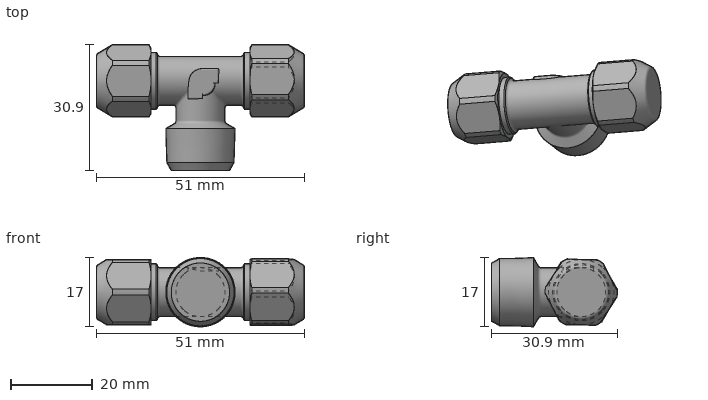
import cadquery as cq
import math

run_half_length = 25.5
branch_length = 22.0
pipe_radius = 6.0
crotch_fillet = 0.7

nut_length = 13.4
nut_across_flats = 16.0
nut_corner_radius = 8.85
nut_nose_radius = 6.5
nut_nose_length = 3.92
nut_nose_fillet = 0.95
nut_back_radius = nut_across_flats / 2
nut_back_chamfer = 0.49
right_nut_turn = -3.0

collar_radius = 7.0
collar_length = 1.55
collar_chamfer = 0.3
collar_fillet = 0.7

thread_length = 10.3
thread_large_radius = 8.51
thread_taper = 1 / 16
thread_end_chamfer = 2.0
thread_end_radius = 7.15
shoulder_angle = math.radians(60)
shoulder_fillet = 0.89

pad_top = 6.1
pad_arc_center = 0.55
pad_outer_arc = 3.55
pad_inner_arc = 3.1
pad_leg_end = 4.5
pad_edge_fillet = 0.4
pad_corner_fillet = 0.3


def revolve_about_x(profile):
    return profile.close().revolve(360, (0, 0, 0), (1, 0, 0))


def make_nut():
    """Hexagon nut with its back at X = 0 and its nose at X = nut_length."""
    envelope = revolve_about_x(
        cq.Workplane("XY")
        .moveTo(0, 0)
        .lineTo(0, nut_back_radius)
        .lineTo(nut_back_chamfer, nut_corner_radius)
        .lineTo(nut_length - nut_nose_length, nut_corner_radius)
        .lineTo(nut_length, nut_nose_radius)
        .lineTo(nut_length, 0)
    )
    envelope = envelope.faces(">X").edges().fillet(nut_nose_fillet)
    hexagon_diameter = nut_across_flats / math.cos(math.pi / 6)
    hexagon = cq.Workplane("YZ").polygon(6, hexagon_diameter).extrude(nut_length)
    return hexagon.intersect(envelope)


def make_collar():
    """Collar with its outer end at X = 0, blending down to the pipe towards +X."""
    fillet_radius = pipe_radius + collar_fillet
    fillet_mid = collar_fillet * (1 - math.sqrt(0.5))
    return revolve_about_x(
        cq.Workplane("XY")
        .moveTo(0, 0)
        .lineTo(0, collar_radius)
        .lineTo(collar_length - collar_chamfer, collar_radius)
        .lineTo(collar_length, fillet_radius)
        .threePointArc(
            (collar_length + fillet_mid, pipe_radius + fillet_mid),
            (collar_length + collar_fillet, pipe_radius),
        )
        .lineTo(collar_length + collar_fillet, 0)
    )


def make_branch():
    """Branch pipe, shoulder cone and tapered thread envelope, revolved about Y."""
    thread_start = branch_length - thread_length
    chamfer_start = branch_length - thread_end_chamfer
    thread_small_radius = thread_large_radius - (chamfer_start - thread_start) * thread_taper / 2
    cone_root = thread_start - (thread_large_radius - pipe_radius) / math.tan(shoulder_angle)
    half_angle = shoulder_angle / 2
    tangent = shoulder_fillet * math.tan(half_angle)
    fillet_start = cone_root - tangent
    fillet_mid = (
        pipe_radius + shoulder_fillet * (1 - math.cos(half_angle)),
        -fillet_start - shoulder_fillet * math.sin(half_angle),
    )
    fillet_end = (
        pipe_radius + tangent * math.sin(shoulder_angle),
        -cone_root - tangent * math.cos(shoulder_angle),
    )
    return (
        cq.Workplane("XY")
        .lineTo(pipe_radius, 0)
        .lineTo(pipe_radius, -fillet_start)
        .threePointArc(fillet_mid, fillet_end)
        .lineTo(thread_large_radius, -thread_start)
        .lineTo(thread_small_radius, -chamfer_start)
        .lineTo(thread_end_radius, -branch_length)
        .lineTo(0, -branch_length)
        .close()
        .revolve(360, (0, 0, 0), (0, 1, 0))
    )


def make_tee():
    """Run and branch with the filleted crotch between them."""
    run = cq.Workplane("YZ").circle(pipe_radius).extrude(run_half_length - nut_length, both=True)
    tee = run.union(make_branch())
    crotch_reach = pipe_radius + crotch_fillet
    crotch = cq.selectors.BoxSelector(
        (-crotch_reach, -crotch_reach, -crotch_reach),
        (crotch_reach, -crotch_fillet, crotch_reach),
    )
    return tee.edges(crotch).fillet(crotch_fillet)


def make_pad():
    """Flat elbow-shaped pad, symmetric about the line Y = -X."""
    c = pad_arc_center
    outer = pad_outer_arc - c
    inner = pad_inner_arc + c
    diagonal = math.sqrt(0.5)
    pad = (
        cq.Workplane("XY")
        .moveTo(-outer, -pad_leg_end)
        .lineTo(c, -pad_leg_end)
        .lineTo(c, -inner)
        .threePointArc((c + pad_inner_arc * diagonal, -c - pad_inner_arc * diagonal), (inner, -c))
        .lineTo(pad_leg_end, -c)
        .lineTo(pad_leg_end, outer)
        .lineTo(c, outer)
        .threePointArc((c - pad_outer_arc * diagonal, -c + pad_outer_arc * diagonal), (-outer, -c))
        .close()
        .extrude(pad_top)
    )
    for corner in ((-outer, -pad_leg_end, pad_top / 2), (pad_leg_end, outer, pad_top / 2)):
        pad = pad.edges(cq.selectors.NearestToPointSelector(corner)).fillet(pad_corner_fillet)
    longest_sharp_edge = pad_leg_end - inner + pad_corner_fillet
    long_edges = pad.faces(">Z").edges().filter(lambda edge: edge.Length() > longest_sharp_edge)
    return long_edges.fillet(pad_edge_fillet)


nut = make_nut()
collar = make_collar()
nut_back = run_half_length - nut_length

right_nut = nut.rotate((0, 0, 0), (1, 0, 0), right_nut_turn).translate((nut_back, 0, 0))
left_nut = nut.mirror("YZ").translate((-nut_back, 0, 0))
right_collar = collar.mirror("YZ").translate((nut_back, 0, 0))
left_collar = collar.translate((-nut_back, 0, 0))

result = make_tee().union(make_pad())
for piece in (right_collar, left_collar, right_nut, left_nut):
    result = result.union(piece)